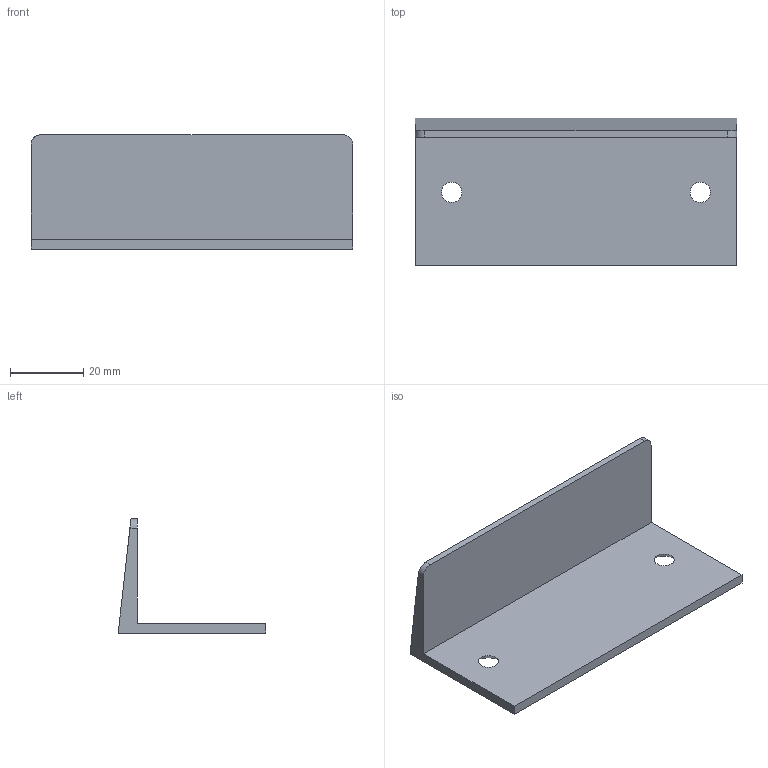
import cadquery as cq
import math

length = 87.6
depth = 40.2
height = 31.1

base_thickness = 2.7
wall_foot_thickness = 5.2
wall_top_thickness = 1.7
wall_corner_radius = 2.6

hole_diameter = 5.5
hole_spacing = 67.7
hole_front_distance = 20.0
countersink_angle = 90

front_y = -depth / 2
back_y = depth / 2
wall_front_y = back_y - wall_foot_thickness
wall_top_back_y = wall_front_y + wall_top_thickness
hole_y = front_y + hole_front_distance
countersink_flare = base_thickness * math.tan(math.radians(countersink_angle / 2))
underside_radius = hole_diameter / 2 + countersink_flare


def make_angle():
    """L-shaped section with a sloping wall back, extruded along X about the origin."""
    return (
        cq.Workplane("YZ")
        .moveTo(front_y, 0)
        .lineTo(back_y, 0)
        .lineTo(wall_top_back_y, height)
        .lineTo(wall_front_y, height)
        .lineTo(wall_front_y, base_thickness)
        .lineTo(front_y, base_thickness)
        .close()
        .extrude(length / 2, both=True)
    )


def make_rounded_envelope():
    """Block around the bracket, with its two top corners rounded along Y."""
    return (
        cq.Workplane("XY")
        .box(length, depth, height, centered=(True, True, False))
        .edges("|Y and >Z")
        .fillet(wall_corner_radius)
    )


def make_hole_cutters():
    """Two conical pins, widening downward through the base."""
    return (
        cq.Workplane("XY")
        .pushPoints([(-hole_spacing / 2, hole_y), (hole_spacing / 2, hole_y)])
        .eachpoint(cq.Solid.makeCone(underside_radius, hole_diameter / 2, base_thickness))
    )


result = make_angle().intersect(make_rounded_envelope()).cut(make_hole_cutters())